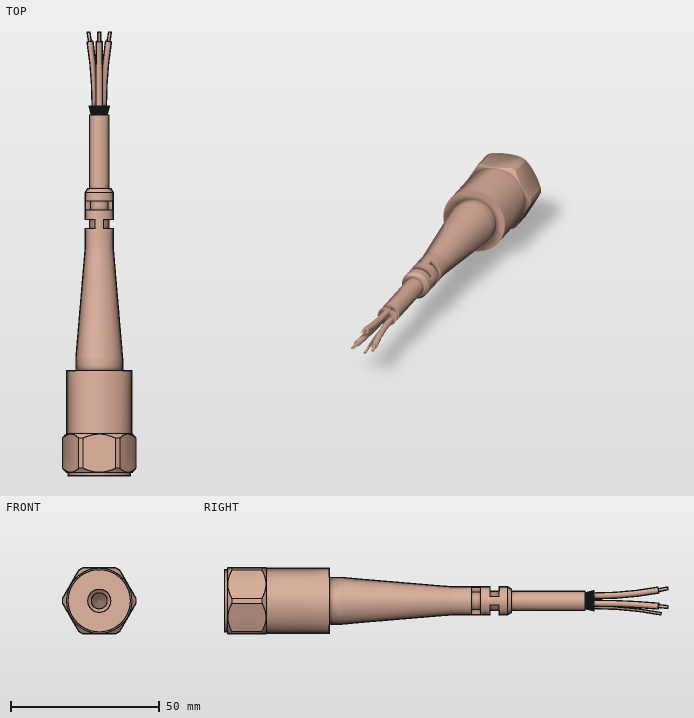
import cadquery as cq
import math

total_length = 149.6

hex_across_flats = 22.3
hex_corner_diameter = 24.8
collar_diameter = 21.0
collar_length = 1.0
nut_face_diameter = 22.0
nut_end = 14.2
front_chamfer_length = 1.5
rear_chamfer_length = 1.5

hole_diameter = 5.4
countersink_diameter = 7.8
countersink_depth = 1.8
hole_depth = 9.0
drill_point_angle = 118.0

body_diameter = 22.0
body_end = 35.5
boot_diameter = 15.9
taper_start = 39.5
taper_end = 76.5
sleeve_diameter = 9.6
sleeve_tip_diameter = 8.0
sleeve_chamfer_start = 95.5
sleeve_end = 96.8

slot_width = 3.0
slot_bridge = 3.0
near_slot_start = 83.3
far_slot_start = 89.6

cable_diameter = 6.6
cable_end = 121.6
shield_end = 124.6
shield_root_diameter = 5.4
shield_tip_diameter = 6.9
shield_strands = 40
strand_groove_depth = 0.5

wire_count = 3
wire_offset = 1.6
wire_diameter = 2.1
wire_end = 146.3
core_diameter = 1.0
drain_offset = 2.2
drain_diameter = 0.9
drain_end = 147.2
wire_bend_radius = 121.2


def turned(points):
    """Revolve a closed (radius, y) outline about the Y axis."""
    return cq.Workplane("XY").polyline(points).close().revolve(360, (0, 0, 0), (0, 1, 0))


def cross_section(y):
    """Sketch plane across the axis at the given Y, with its normal along +Y."""
    return cq.Workplane(cq.Plane(origin=(0, y, 0), xDir=(1, 0, 0), normal=(0, 1, 0)))


def make_nut():
    corner_radius = hex_corner_diameter / 2
    face_radius = nut_face_diameter / 2
    envelope = turned([
        (0, collar_length),
        (face_radius, collar_length),
        (corner_radius, collar_length + front_chamfer_length),
        (corner_radius, nut_end - rear_chamfer_length),
        (face_radius, nut_end),
        (0, nut_end),
    ])
    hex_across_corners = hex_across_flats / math.cos(math.pi / 6)
    hexagon = cross_section(0).polygon(6, hex_across_corners).extrude(nut_end)
    collar = cross_section(0).circle(collar_diameter / 2).extrude(nut_end)
    return hexagon.intersect(envelope).union(collar)


def make_hole():
    radius = hole_diameter / 2
    point_length = radius / math.tan(math.radians(drill_point_angle / 2))
    return turned([
        (0, 0),
        (countersink_diameter / 2, 0),
        (radius, countersink_depth),
        (radius, hole_depth),
        (0, hole_depth + point_length),
    ])


def make_barrel():
    """Body, tapered boot, sleeve and cable as one turned shape."""
    return turned([
        (0, nut_end),
        (body_diameter / 2, nut_end),
        (body_diameter / 2, body_end),
        (boot_diameter / 2, body_end),
        (boot_diameter / 2, taper_start),
        (sleeve_diameter / 2, taper_end),
        (sleeve_diameter / 2, sleeve_chamfer_start),
        (sleeve_tip_diameter / 2, sleeve_end),
        (cable_diameter / 2, sleeve_end),
        (cable_diameter / 2, cable_end),
        (0, cable_end),
    ])


def make_slot_pair(start, turn):
    """Two opposite slots around the cable, with a bridge of sleeve left between them."""
    ring = cross_section(start).circle(sleeve_diameter).circle(cable_diameter / 2).extrude(slot_width)
    bridge = cross_section(start).rect(4 * sleeve_diameter, slot_bridge).extrude(slot_width)
    return ring.cut(bridge).rotate((0, 0, 0), (0, 1, 0), turn)


def strand_outline(diameter):
    """Points of a ring of strand crests with grooves between them."""
    points = []
    for i in range(2 * shield_strands):
        angle = math.pi * i / shield_strands
        radius = diameter / 2 - (i % 2) * strand_groove_depth
        points.append((radius * math.cos(angle), radius * math.sin(angle)))
    return points


def make_shield():
    return (
        cross_section(cable_end)
        .polyline(strand_outline(shield_root_diameter)).close()
        .workplane(offset=shield_end - cable_end)
        .polyline(strand_outline(shield_tip_diameter)).close()
        .loft(ruled=True)
    )


def make_wire(offset, diameter, end):
    """Round wire in the YZ plane that runs along Y and bends outward from the shield end toward +Z."""
    bend = math.asin((end - shield_end) / wire_bend_radius)

    def bend_point(angle):
        y = shield_end + wire_bend_radius * math.sin(angle)
        z = offset + wire_bend_radius * (1 - math.cos(angle))
        return (y, z)

    path = (
        cq.Workplane("YZ")
        .moveTo(cable_end, offset)
        .lineTo(shield_end, offset)
        .threePointArc(bend_point(bend / 2), bend_point(bend))
    )
    return cross_section(cable_end).center(0, -offset).circle(diameter / 2).sweep(path)


def make_core():
    """Bare conductor that continues straight out of the bent insulated wire."""
    bend = math.asin((wire_end - shield_end) / wire_bend_radius)
    end_height = wire_offset + wire_bend_radius * (1 - math.cos(bend))
    tip_y = total_length - core_diameter / 2 * math.sin(bend)
    length = (tip_y - wire_end) / math.cos(bend)
    plane = cq.Plane(
        origin=(0, wire_end, end_height),
        xDir=(1, 0, 0),
        normal=(0, math.cos(bend), math.sin(bend)),
    )
    return cq.Workplane(plane).circle(core_diameter / 2).extrude(length)


result = make_nut().cut(make_hole()).union(make_barrel())
result = result.cut(make_slot_pair(near_slot_start, 90)).cut(make_slot_pair(far_slot_start, 0))
result = result.union(make_shield())

insulated_wire = make_wire(wire_offset, wire_diameter, wire_end).union(make_core())
for i in range(wire_count):
    result = result.union(insulated_wire.rotate((0, 0, 0), (0, 1, 0), i * 360 / wire_count))

drain_wire = make_wire(drain_offset, drain_diameter, drain_end)
result = result.union(drain_wire.rotate((0, 0, 0), (0, 1, 0), 180))